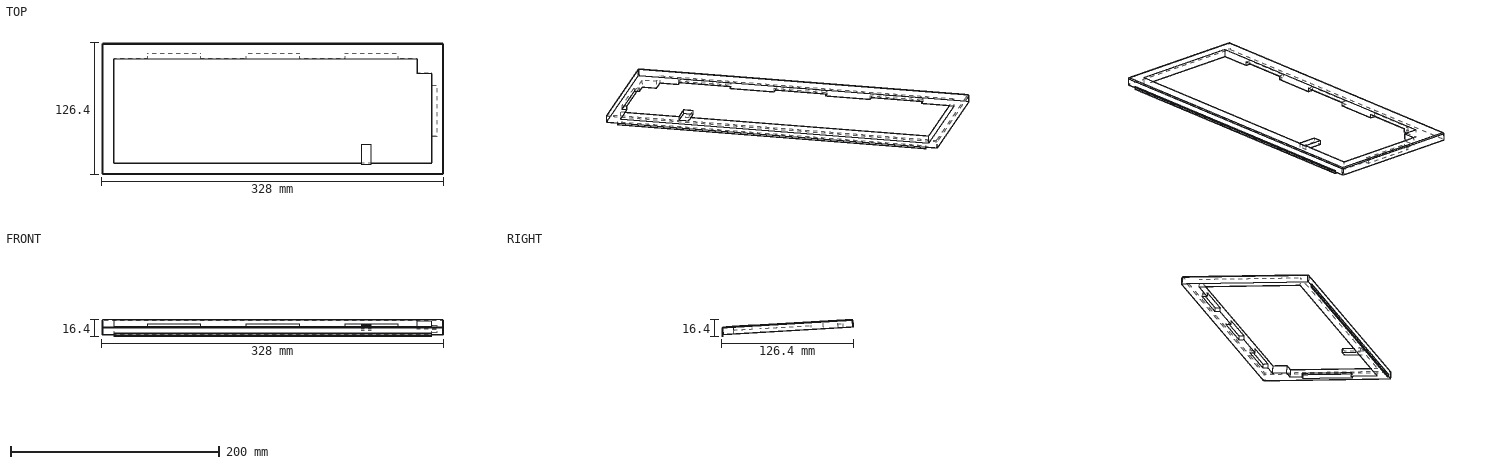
import cadquery as cq

FRAME_LENGTH = 328.0
FRAME_DEPTH = 126.22
FRAME_THICKNESS = 7.5
EDGE_CHAMFER = 1.0
TILT_ANGLE = 3.37

OPENING_LENGTH = 305.4
FRONT_RAIL = 11.0
REAR_RAIL = 15.0
CORNER_BLOCK = 14.0

TONGUE_WIDTH = 9.4
TONGUE_LENGTH = 18.0
TONGUE_OVERLAP = 1.0
TONGUE_THICKNESS = 4.0
TONGUE_RISE = 0.2
TONGUE_CENTER_X = 89.8

NOTCH_LENGTH = 51.0
NOTCH_PITCH = 95.0
NOTCH_COUNT = 3
NOTCH_DEPTH = 3.7
NOTCH_REACH = 5.0
SIDE_NOTCH_LENGTH = 49.0
SIDE_NOTCH_CENTER_Y = -2.0

LIP_DROP = 1.5
LIP_OVERLAP = 1.5
LIP_PROJECTION = 0.3

front_y = -FRAME_DEPTH / 2
rear_y = FRAME_DEPTH / 2
opening_front_y = front_y + FRONT_RAIL
opening_rear_y = rear_y - REAR_RAIL
opening_half = OPENING_LENGTH / 2
bottom_z = -FRAME_THICKNESS


def box_between(x_range, y_range, z_range):
    """Box spanning the given (low, high) range along each axis."""
    lows, highs = zip(x_range, y_range, z_range)
    sizes = [high - low for low, high in zip(lows, highs)]
    return cq.Workplane("XY").box(*sizes, centered=False).translate(lows)


def span(center, length):
    """Range of the given length about a center."""
    return (center - length / 2, center + length / 2)


def make_frame():
    plate_z = (bottom_z, 0)
    blank = box_between(span(0, FRAME_LENGTH), (front_y, rear_y), plate_z)
    blank = blank.edges("|Z or >Z").chamfer(EDGE_CHAMFER)
    opening = box_between(span(0, OPENING_LENGTH), (opening_front_y, opening_rear_y), plate_z)
    corner_block = box_between(
        (opening_half - CORNER_BLOCK, opening_half),
        (opening_rear_y - CORNER_BLOCK, opening_rear_y),
        plate_z,
    )
    return blank.cut(opening.cut(corner_block))


def cut_notches(frame):
    notch_z = (bottom_z, bottom_z + NOTCH_DEPTH)
    rear_notch_y = (opening_rear_y, opening_rear_y + NOTCH_REACH)
    for index in range(NOTCH_COUNT):
        center_x = (index - (NOTCH_COUNT - 1) / 2) * NOTCH_PITCH
        frame = frame.cut(box_between(span(center_x, NOTCH_LENGTH), rear_notch_y, notch_z))
    side_notch_x = (opening_half, opening_half + NOTCH_REACH)
    side_notch_y = span(SIDE_NOTCH_CENTER_Y, SIDE_NOTCH_LENGTH)
    return frame.cut(box_between(side_notch_x, side_notch_y, notch_z))


def make_tongue():
    return box_between(
        span(TONGUE_CENTER_X, TONGUE_WIDTH),
        (opening_front_y - TONGUE_OVERLAP, opening_front_y + TONGUE_LENGTH),
        (TONGUE_RISE - TONGUE_THICKNESS, TONGUE_RISE),
    )


def make_lip():
    """Plate straddling the front face so that it stays joined to the frame."""
    return box_between(
        span(0, OPENING_LENGTH),
        (front_y - LIP_PROJECTION, front_y + LIP_PROJECTION),
        (bottom_z - LIP_DROP, bottom_z + LIP_OVERLAP),
    )


flat_part = cut_notches(make_frame()).union(make_tongue()).union(make_lip())
result = flat_part.rotate((0, 0, 0), (1, 0, 0), TILT_ANGLE)